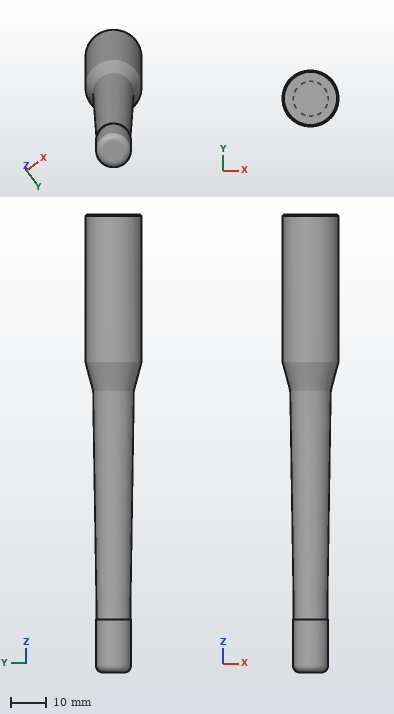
import cadquery as cq
import math


overall_length = 130.0
head_length = 15.0
straight_neck_end = 18.0
tapered_neck_end = 80.0

head_radius = 5.0
corner_radius = 2.0

handle_radius = 8.0
handle_chamfer = 0.5
neck_radius = 4.85
neck_taper_angle = 0.9
shoulder_angle = 15.0

neck_chamfer = head_radius - neck_radius
tapered_neck_length = tapered_neck_end - straight_neck_end
neck_top_radius = neck_radius + tapered_neck_length * math.tan(math.radians(neck_taper_angle))
shoulder_length = (handle_radius - neck_top_radius) / math.tan(math.radians(shoulder_angle))
shoulder_end = tapered_neck_end + shoulder_length


def turn(outline):
    """Close an outline drawn from the axis towards -Y and revolve it about the Z axis."""
    return outline.close().revolve(360, (0, 0), (0, 1))


def make_cutting_head():
    """Cylinder with a rounded corner around its tip."""
    outline = (
        cq.Workplane("YZ")
        .moveTo(0, 0)
        .lineTo(corner_radius - head_radius, 0)
        .radiusArc((-head_radius, corner_radius), corner_radius)
        .lineTo(-head_radius, head_length)
        .lineTo(0, head_length)
    )
    return turn(outline)


def make_shank():
    """Chamfered foot, straight neck, tapered neck, conical shoulder and chamfered handle."""
    outline = cq.Workplane("YZ").polyline([
        (0, head_length),
        (-head_radius, head_length),
        (-neck_radius, head_length + neck_chamfer),
        (-neck_radius, straight_neck_end),
        (-neck_top_radius, tapered_neck_end),
        (-handle_radius, shoulder_end),
        (-handle_radius, overall_length - handle_chamfer),
        (handle_chamfer - handle_radius, overall_length),
        (0, overall_length),
    ])
    return turn(outline)


cutting_head = make_cutting_head()
shank = make_shank()

result = cq.Compound.makeCompound([cutting_head.val(), shank.val()])